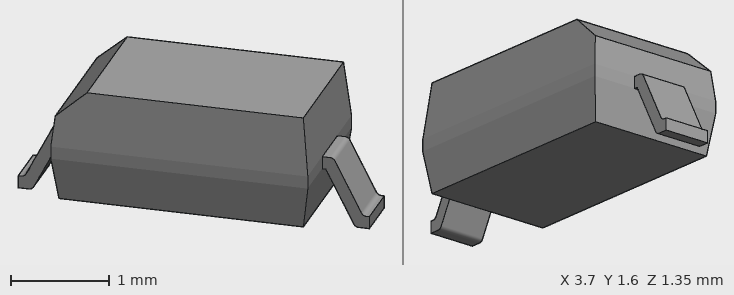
import cadquery as cq
import math

span = 3.7
height = 1.35

body_length = 2.71
body_width = 1.6
body_bottom = 0.145
draft_inset = 0.065

lead_thickness = 0.135
lead_width = 0.548
bend_radius = 0.06
foot_length = 0.148
leg_run = 0.31

band_bottom = 0.603
band_top = band_bottom + lead_thickness

bevel_length = 0.295
bevel_bottom = 1.065


def frustum(base_z, end_z):
    """Drafted block from the full outline at base_z to the inset one at end_z."""
    return (
        cq.Workplane("XY", origin=(0, 0, base_z))
        .rect(body_length, body_width)
        .workplane(offset=end_z - base_z)
        .rect(body_length - 2 * draft_inset, body_width - 2 * draft_inset)
        .loft(ruled=True, combine=True)
    )


def bevel_cutter():
    """Triangular prism that removes the -X top edge of the body."""
    side_inset = draft_inset * (bevel_bottom - band_top) / (height - band_top)
    side_x = -body_length / 2 + side_inset
    top_edge_x = -body_length / 2 + draft_inset
    bevel_end_x = top_edge_x + bevel_length
    slope = (height - bevel_bottom) / (bevel_end_x - side_x)
    overshoot = 0.037
    low_point = (side_x - overshoot, bevel_bottom - slope * overshoot)
    high_point = (bevel_end_x + overshoot, height + slope * overshoot)
    return (
        cq.Workplane("XZ")
        .polyline([low_point, high_point, (low_point[0], high_point[1])])
        .close()
        .extrude(body_width / 2, both=True)
    )


def make_body():
    band = (
        cq.Workplane("XY", origin=(0, 0, band_bottom))
        .rect(body_length, body_width)
        .extrude(lead_thickness)
    )
    lower = frustum(band_bottom, body_bottom)
    upper = frustum(band_top, height).cut(bevel_cutter())
    return band.union(lower).union(upper)


def make_lead(turn):
    """Gull-wing lead on the -X end, turned about Z by the given angle."""
    toe_x = -span / 2
    body_x = -body_length / 2
    bend_angle = math.atan2(band_bottom, leg_run)
    corner_shift = lead_thickness * math.tan(bend_angle / 2)
    heel_x = toe_x + foot_length
    foot_top_x = heel_x - corner_shift
    shoulder_low_x = heel_x + leg_run
    shoulder_top_x = foot_top_x + leg_run

    profile = [
        (toe_x, 0),
        (heel_x, 0),
        (shoulder_low_x, band_bottom),
        (body_x, band_bottom),
        (body_x, band_top),
        (shoulder_top_x, band_top),
        (foot_top_x, lead_thickness),
        (toe_x, lead_thickness),
    ]
    lead = cq.Workplane("XZ").polyline(profile).close().extrude(lead_width / 2, both=True)

    rounded_corners = [(heel_x, 0), (shoulder_top_x, band_top), (foot_top_x, lead_thickness)]
    for x, z in rounded_corners:
        edge = cq.selectors.NearestToPointSelector((x, 0, z))
        lead = lead.edges("|Y").edges(edge).fillet(bend_radius)
    return lead.rotate((0, 0, 0), (0, 0, 1), turn)


body = make_body()
leads = [make_lead(turn) for turn in (0, 180)]

result = cq.Compound.makeCompound([body.val(), *[lead.val() for lead in leads]])